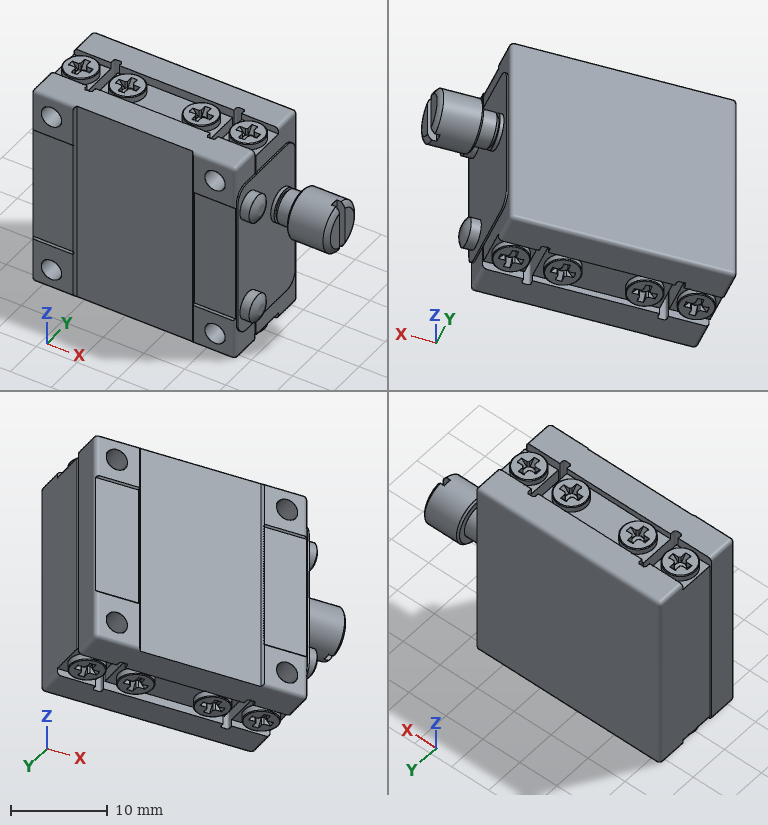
import cadquery as cq


SIDE = 25.0
THICKNESS = 12.0
EDGE_RADIUS = 0.5
HALF_SIDE = SIDE / 2
HALF_THICKNESS = THICKNESS / 2

ARM_WIDTH = 4.5
SLOT_WIDTH = 0.98
SLOT_LENGTH = 5.95
SLOT_CORNER_RADIUS = 0.25
GAP = 0.25
GAP_OUTER = 2.32
JOINT_Y = 0.05
SLOT_X = HALF_SIDE - ARM_WIDTH - SLOT_WIDTH / 2
BASE_PLATE_THICKNESS = HALF_THICKNESS + JOINT_Y - GAP_OUTER
TONGUE_WIDTH = 2 * SLOT_X - SLOT_WIDTH

RECESS_WIDTH = 4.5
RECESS_DEPTH = 0.8
HEAD_DIAMETER = 4.0
HEAD_CHAMFER = 0.1
TONGUE_SCREW_X = 4.5
ARM_SCREW_X = 10.25
CROSS_SPAN = 2.55
CROSS_ARM_WIDTH = 0.7
CROSS_CORE_DIAMETER = 1.28
CROSS_FLOOR_SPAN = 1.18
CROSS_DEPTH = 0.88

CHANNEL_DEPTH = 0.3
CHANNEL_HALF_WIDTH = 7.35
RELIEF_DEPTH = 0.2
PAD_HEIGHT = 5.1
TALL_PAD_HEIGHT = 5.62
MOUNT_HOLE_DIAMETER = 2.5
MOUNT_HOLE_OFFSET = 10.0

PLATE_THICKNESS = 0.2
PLATE_BOTTOM_Y = -5.82
PLATE_TOP_Y = 5.2
PLATE_LENGTH = 19.03
PLATE_CORNER_RADIUS = 1.65
PLATE_SCREW_DIAMETER = 3.3
PLATE_SCREW_Y = -3.8
PLATE_SCREW_Z = 6.5
PLATE_SCREW_LENGTH = 1.6
PLATE_SCREW_DOME = 0.5
DOME_FLAT_RADIUS = 0.65
KNOB_OFFSET = 2.5
KNOB_DIAMETER = 6.0
KNOB_CHAMFER = 0.23
KNOB_NOSE_RADIUS = 2.3
KNOB_NOSE_LENGTH = 0.45
KNOB_SLOT_WIDTH = 0.98
KNOB_SLOT_DEPTH = 0.98
STEM_DIAMETER = 4.0
NECK_DIAMETER = 3.3
COLLAR_LENGTH = 0.43
KNOB_LENGTH = 4.97
OVERALL_LENGTH = 32.7
PLATE_FACE_X = HALF_SIDE + PLATE_THICKNESS
KNOB_END_X = OVERALL_LENGTH - HALF_SIDE


def box(x_range, y_range, z_range):
    """Box between the given limits."""
    (x0, x1), (y0, y1), (z0, z1) = x_range, y_range, z_range
    return cq.Workplane("XY").box(x1 - x0, y1 - y0, z1 - z0, centered=False).translate((x0, y0, z0))


def block():
    """Rounded block with the recess across both Z ends."""
    body = cq.Workplane("XY").box(SIDE, THICKNESS, SIDE).edges().fillet(EDGE_RADIUS)
    core_height = SIDE - 2 * RECESS_DEPTH
    ends = cq.Workplane("XY").box(SIDE, RECESS_WIDTH, SIDE)
    recesses = ends.cut(cq.Workplane("XY").box(SIDE, RECESS_WIDTH, core_height))
    return body.cut(recesses.translate((0, JOINT_Y, 0)))


def clearance():
    """Continuous gap that parts the table from the base."""
    gap_y = GAP_OUTER - GAP / 2
    slots = (
        cq.Workplane("XY")
        .pushPoints([(-SLOT_X, 0), (SLOT_X, 0)])
        .box(SLOT_WIDTH, SLOT_LENGTH, SIDE)
        .edges("|Z")
        .fillet(SLOT_CORNER_RADIUS)
    )
    over_tongue = cq.Workplane("XY").box(TONGUE_WIDTH + SLOT_WIDTH, GAP, SIDE).translate((0, gap_y, 0))
    under_arms = (
        cq.Workplane("XY")
        .pushPoints([(-HALF_SIDE, -gap_y), (HALF_SIDE, -gap_y)])
        .box(2 * ARM_WIDTH + SLOT_WIDTH, GAP, SIDE)
    )
    return slots.union(over_tongue).union(under_arms).translate((0, JOINT_Y, 0))


def screw_head():
    """Flat round head standing on Z = 0."""
    disc = cq.Workplane("XY").circle(HEAD_DIAMETER / 2).extrude(RECESS_DEPTH)
    return disc.faces(">Z").chamfer(HEAD_CHAMFER)


def cross_recess():
    """Driver recess of a head standing on Z = 0: a round core and four arms with sloping floors."""
    floor = RECESS_DEPTH - CROSS_DEPTH
    core = cq.Workplane("XY", origin=(0, 0, floor)).circle(CROSS_CORE_DIAMETER / 2).extrude(CROSS_DEPTH)
    arm_pair = (
        cq.Workplane("XZ")
        .polyline([
            (-CROSS_FLOOR_SPAN / 2, floor),
            (CROSS_FLOOR_SPAN / 2, floor),
            (CROSS_SPAN / 2, RECESS_DEPTH),
            (-CROSS_SPAN / 2, RECESS_DEPTH),
        ])
        .close()
        .extrude(CROSS_ARM_WIDTH / 2, both=True)
    )
    return core.union(arm_pair).union(arm_pair.rotate((0, 0, 0), (0, 0, 1), 90))


def add_rail_screws(body, screw_x):
    """Add cross-recessed heads at +-screw_x on both Z ends of a body."""
    head = screw_head()
    recess = cross_recess()
    for x in (-screw_x, screw_x):
        seat = (x, JOINT_Y, HALF_SIDE - RECESS_DEPTH)
        top_head = head.translate(seat)
        top_recess = recess.translate(seat)
        body = body.union(top_head).cut(top_recess)
        body = body.union(top_head.mirror("XY")).cut(top_recess.mirror("XY"))
    return body


def front_channel():
    """Shallow sloped-sided channel down the middle of the front face."""
    floor_half_width = CHANNEL_HALF_WIDTH - CHANNEL_DEPTH
    return (
        cq.Workplane("XY")
        .polyline([
            (-CHANNEL_HALF_WIDTH, -HALF_THICKNESS),
            (CHANNEL_HALF_WIDTH, -HALF_THICKNESS),
            (floor_half_width, CHANNEL_DEPTH - HALF_THICKNESS),
            (-floor_half_width, CHANNEL_DEPTH - HALF_THICKNESS),
        ])
        .close()
        .extrude(HALF_SIDE, both=True)
    )


def side_relief(side, lower_pad):
    """Relief between the two pads on one side, with 45 degree ends."""
    bottom = lower_pad - HALF_SIDE
    top = HALF_SIDE - PAD_HEIGHT
    relief = (
        cq.Workplane("YZ")
        .polyline([
            (-HALF_THICKNESS, bottom),
            (-HALF_THICKNESS, top),
            (RELIEF_DEPTH - HALF_THICKNESS, top - RELIEF_DEPTH),
            (RELIEF_DEPTH - HALF_THICKNESS, bottom + RELIEF_DEPTH),
        ])
        .close()
        .extrude(HALF_SIDE - CHANNEL_HALF_WIDTH)
        .translate((CHANNEL_HALF_WIDTH, 0, 0))
    )
    return relief if side > 0 else relief.mirror("YZ")


def mount_holes():
    """Four holes through the base plate, opening into the gaps under the arms."""
    spacing = 2 * MOUNT_HOLE_OFFSET
    return (
        cq.Workplane("XZ", origin=(0, -HALF_THICKNESS, 0))
        .rarray(spacing, spacing, 2, 2)
        .circle(MOUNT_HOLE_DIAMETER / 2)
        .extrude(-BASE_PLATE_THICKNESS)
    )


def clamp_plate():
    """Thin plate lying on the +X side."""
    plate = box(
        (HALF_SIDE, PLATE_FACE_X),
        (PLATE_BOTTOM_Y, PLATE_TOP_Y),
        (-PLATE_LENGTH / 2, PLATE_LENGTH / 2),
    )
    return plate.edges("|X").fillet(PLATE_CORNER_RADIUS)


def plate_screw(z):
    """Domed screw head on the clamp plate."""
    radius = PLATE_SCREW_DIAMETER / 2
    end_x = PLATE_FACE_X + PLATE_SCREW_LENGTH
    shoulder_x = end_x - PLATE_SCREW_DOME
    dome_middle = (end_x - PLATE_SCREW_DOME / 3, (radius + DOME_FLAT_RADIUS) / 2)
    profile = (
        cq.Workplane("XY")
        .moveTo(PLATE_FACE_X, 0)
        .lineTo(PLATE_FACE_X, radius)
        .lineTo(shoulder_x, radius)
        .threePointArc(dome_middle, (end_x, DOME_FLAT_RADIUS))
        .lineTo(end_x, 0)
        .close()
    )
    return profile.revolve(360, (0, 0, 0), (1, 0, 0)).translate((0, PLATE_SCREW_Y, z))


def knob():
    """Slotted clamp knob with a necked stem standing on the plate."""
    radius = KNOB_DIAMETER / 2
    stem_radius = STEM_DIAMETER / 2
    neck_radius = NECK_DIAMETER / 2
    neck_x = PLATE_FACE_X + COLLAR_LENGTH
    head_x = KNOB_END_X - KNOB_LENGTH
    nose_x = KNOB_END_X - KNOB_NOSE_LENGTH
    nose_middle = (KNOB_END_X - KNOB_NOSE_LENGTH / 3, (radius + KNOB_NOSE_RADIUS) / 2)
    profile = (
        cq.Workplane("XY")
        .moveTo(PLATE_FACE_X, 0)
        .lineTo(PLATE_FACE_X, stem_radius)
        .lineTo(neck_x, stem_radius)
        .lineTo(neck_x, neck_radius)
        .lineTo(neck_x + stem_radius - neck_radius, stem_radius)
        .lineTo(head_x, stem_radius)
        .lineTo(head_x, radius - KNOB_CHAMFER)
        .lineTo(head_x + KNOB_CHAMFER, radius)
        .lineTo(nose_x, radius)
        .threePointArc(nose_middle, (KNOB_END_X, KNOB_NOSE_RADIUS))
        .lineTo(KNOB_END_X, 0)
        .close()
    )
    body = profile.revolve(360, (0, 0, 0), (1, 0, 0))
    slot = box(
        (KNOB_END_X - KNOB_SLOT_DEPTH, KNOB_END_X),
        (-KNOB_SLOT_WIDTH / 2, KNOB_SLOT_WIDTH / 2),
        (-radius, radius),
    )
    return body.cut(slot).translate((0, KNOB_OFFSET, KNOB_OFFSET))


parted = block().cut(clearance())

table = add_rail_screws(parted.solids(">Y"), ARM_SCREW_X)

base = add_rail_screws(parted.solids("<Y"), TONGUE_SCREW_X)
base = base.cut(front_channel()).cut(mount_holes())
base = base.cut(side_relief(-1, TALL_PAD_HEIGHT)).cut(side_relief(1, PAD_HEIGHT))
base = base.union(clamp_plate()).union(knob())
for screw_z in (-PLATE_SCREW_Z, PLATE_SCREW_Z):
    base = base.union(plate_screw(screw_z))

result = cq.Compound.makeCompound([base.solids().val(), table.solids().val()])